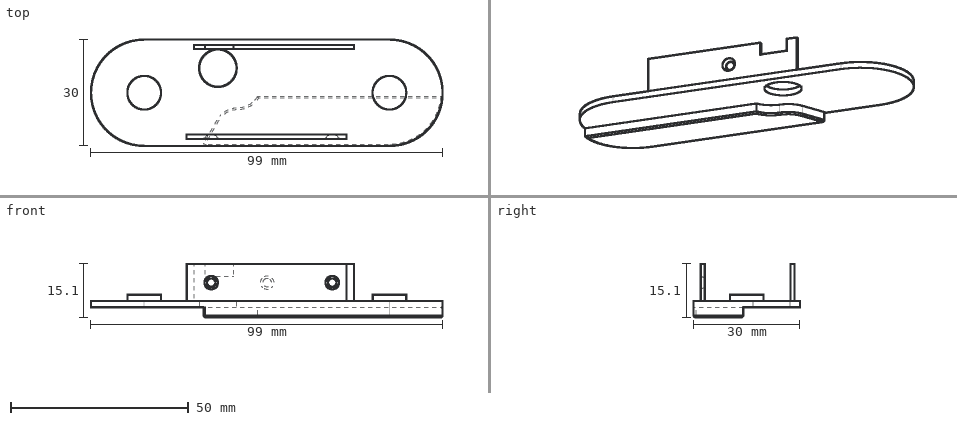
import cadquery as cq
import math

length = 99.0
width = 30.0
end_radius = width / 2
end_center_x = length / 2 - end_radius
plate_thickness = 1.8

pad_drop = 2.9
pad_start_x = -17.8
pad_inner_y = -1.0
pad_flat_end_y = -7.5
pad_slant = 30.0
pad_corner_leg = 0.8
pad_chamfer = 0.5

boss_radius = 4.8
boss_height = 1.8

opening_x = -13.8
opening_y = 6.9
opening_radius = 5.2

wall_height = 10.4
wall_length = 45.0
front_wall_x = -22.6
front_wall_y = -13.0
front_wall_thickness = 1.2
rear_wall_x = -20.5
rear_wall_y = 12.3
rear_wall_thickness = 1.2

hole_z = 5.1
front_hole_xs = (-15.6, 18.4)
rear_hole_x = 0.1
hole_radius = 1.2
sink_radius = 1.9

notch_start_x = -17.4
notch_end_x = -9.4
notch_depth = 3.6


def block(x, y, z, size_x, size_y, size_z):
    """Box placed by its lowest corner."""
    return cq.Workplane("XY").box(size_x, size_y, size_z, centered=False).translate((x, y, z))


def countersunk_hole(x, outer_y, inner_y):
    """Conical hole along Y, widest at the wall's outer face."""
    cone = cq.Solid.makeCone(sink_radius, hole_radius, abs(inner_y - outer_y),
                             cq.Vector(x, outer_y, hole_z), cq.Vector(0, inner_y - outer_y, 0))
    return cq.Workplane(cone)


def make_plate():
    return cq.Workplane("XY").slot2D(length, width).extrude(-plate_thickness)


def arc_point(center, radius, degrees):
    """Point on a circle at an angle measured from +X."""
    angle = math.radians(degrees)
    return (center[0] + radius * math.cos(angle), center[1] + radius * math.sin(angle))


def make_underside_pad():
    """Half-width pad that follows the plate rim, with a slanted end and an S-curved inner corner."""
    slant = math.radians(pad_slant)
    corner_x = pad_start_x - pad_corner_leg * math.sin(slant)
    facet_end_y = -end_radius + pad_corner_leg * math.cos(slant)
    flat_end = (pad_start_x + (pad_flat_end_y - facet_end_y) * math.tan(slant), pad_flat_end_y)

    curve_radius = (pad_inner_y - pad_flat_end_y) / 2 / (1 - math.sin(slant))
    outer_center = (
        flat_end[0] + curve_radius * math.cos(slant),
        pad_flat_end_y - curve_radius * math.sin(slant),
    )
    curve_middle = arc_point(outer_center, curve_radius, 90)
    inner_center = (curve_middle[0], curve_middle[1] + curve_radius)
    flat_end_angle = 180 - pad_slant
    curve_end = arc_point(inner_center, curve_radius, -pad_slant)

    rim_center = (end_center_x, 0)
    rim_end_angle = math.degrees(math.asin(pad_inner_y / end_radius))
    pad = (
        cq.Workplane("XY")
        .moveTo(corner_x + pad_corner_leg, -end_radius)
        .lineTo(end_center_x, -end_radius)
        .threePointArc(arc_point(rim_center, end_radius, (rim_end_angle - 90) / 2),
                       arc_point(rim_center, end_radius, rim_end_angle))
        .lineTo(*curve_end)
        .threePointArc(arc_point(inner_center, curve_radius, -(pad_slant + 90) / 2), curve_middle)
        .threePointArc(arc_point(outer_center, curve_radius, (flat_end_angle + 90) / 2), flat_end)
        .lineTo(pad_start_x, facet_end_y)
        .close()
        .extrude(-plate_thickness - pad_drop)
    )
    return pad.faces("<Z").chamfer(pad_chamfer)


def make_bosses():
    centers = [(-end_center_x, 0), (end_center_x, 0)]
    return cq.Workplane("XY").pushPoints(centers).circle(boss_radius).extrude(boss_height)


def make_front_wall():
    """Plain wall with two countersunk screw holes."""
    wall = block(front_wall_x, front_wall_y, 0, wall_length, front_wall_thickness, wall_height)
    for x in front_hole_xs:
        wall = wall.cut(countersunk_hole(x, front_wall_y, front_wall_y + front_wall_thickness))
    return wall


def make_rear_wall():
    """Wall with a notched top edge and one countersunk screw hole."""
    wall = block(rear_wall_x, rear_wall_y, 0, wall_length, rear_wall_thickness, wall_height)
    notch = block(notch_start_x, rear_wall_y, wall_height - notch_depth,
                  notch_end_x - notch_start_x, rear_wall_thickness, notch_depth)
    hole = countersunk_hole(rear_hole_x, rear_wall_y + rear_wall_thickness, rear_wall_y)
    return wall.cut(notch).cut(hole)


opening = (
    cq.Workplane("XY")
    .center(opening_x, opening_y)
    .circle(opening_radius)
    .extrude(-plate_thickness)
)

result = (
    make_plate()
    .union(make_underside_pad())
    .cut(opening)
    .union(make_bosses())
    .union(make_front_wall())
    .union(make_rear_wall())
)